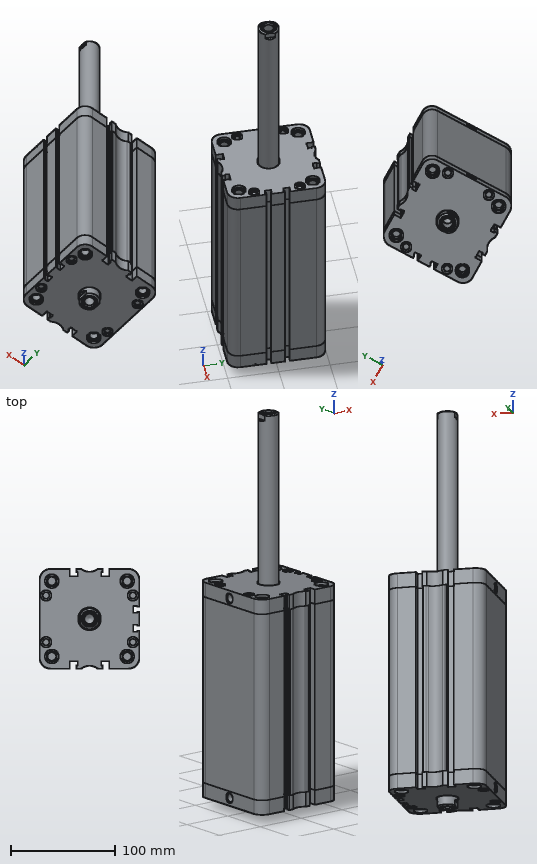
import cadquery as cq
import math

ROD_LENGTH = 392.0
BODY_WIDTH = 95.5
BODY_BOTTOM_Z = 9.5
BODY_LENGTH = 213.5
CAP_THICKNESS = 14.5
CORNER_RADIUS = 10.5
HALF_WIDTH = BODY_WIDTH / 2
TUBE_LENGTH = BODY_LENGTH - 2 * CAP_THICKNESS
TUBE_BOTTOM_Z = BODY_BOTTOM_Z + CAP_THICKNESS
TUBE_TOP_Z = TUBE_BOTTOM_Z + TUBE_LENGTH

GROOVE_OUTER_X = 19.0
GROOVE_DEPTH = 7.0
RIB_HALF_WIDTH = 12.5
RIB_LIP_DEPTH = 3.0
RIB_UNDERCUT = 1.0
RIB_HOLLOW_DIAMETER = 25.0
RIB_HOLLOW_HALF_WIDTH = 8.0
RIB_EDGE_CHAMFER = 1.0

SIDE_SLOT_Y = 9.0
SIDE_SLOT_DEPTH = 6.0
SIDE_SLOT_WIDTH = 6.3
SIDE_SLOT_LIP_DEPTH = 2.5
SIDE_SLOT_OPENING = 4.7

MOUNT_OFFSET = 36.0
MOUNT_BORE_DIAMETER = 13.5
MOUNT_BORE_DEPTH = 2.7
MOUNT_HOLE_DIAMETER = 9.8
MOUNT_HOLE_DEPTH = 3.5
MOUNT_CORE_DIAMETER = 8.2
MOUNT_CORE_DEPTH = 11.8

SCREW_X = 41.5
SCREW_Y = 22.5
SCREW_SEAT_DIAMETER = 10.0
SCREW_SEAT_DEPTH = 1.0
SCREW_SOCKET_DIAMETER = 6.3
SCREW_SOCKET_DEPTH = 3.0

PORT_DIAMETER = 8.2
PORT_MOUTH_DIAMETER = 10.0
PORT_DEPTH = 11.8
PORT_FROM_OUTER_FACE = 8.0

ROD_DIAMETER = 20.0
ROD_CLEARANCE_DIAMETER = 20.8
ROD_MOUTH_DIAMETER = 22.0
ROD_END_CHAMFER_LENGTH = 1.0
ROD_END_FACE_DIAMETER = 15.5
FLAT_ACROSS = 17.2
FLAT_LENGTH = 6.0
ROD_BORE_DIAMETER = 9.8
ROD_BORE_MOUTH_DIAMETER = 12.5
ROD_BORE_DEPTH = 19.5
DRILL_POINT_ANGLE = 118.0


def chamfered_mouth(diameter, mouth_diameter):
    """45-degree cone that widens a hole at z = 0 and narrows toward -Z."""
    depth = (mouth_diameter - diameter) / 2
    return cq.Workplane(cq.Solid.makeCone(diameter / 2, mouth_diameter / 2, depth).translate((0, 0, -depth)))


def rib_grooves(length):
    """Cutters for the two grooves and the rounded hollow of the rib on the -Y side."""
    groove_floor_y = GROOVE_DEPTH - HALF_WIDTH
    lip_y = RIB_LIP_DEPTH - HALF_WIDTH
    right_groove = (
        cq.Workplane()
        .polyline([
            (GROOVE_OUTER_X, -HALF_WIDTH),
            (GROOVE_OUTER_X, groove_floor_y),
            (RIB_HALF_WIDTH - RIB_UNDERCUT, groove_floor_y),
            (RIB_HALF_WIDTH - RIB_UNDERCUT, lip_y),
            (RIB_HALF_WIDTH, lip_y),
            (RIB_HALF_WIDTH, -HALF_WIDTH),
        ])
        .close()
        .extrude(length)
    )
    hollow_radius = RIB_HOLLOW_DIAMETER / 2
    hollow_center_y = -HALF_WIDTH - math.sqrt(hollow_radius**2 - RIB_HOLLOW_HALF_WIDTH**2)
    hollow = cq.Workplane().center(0, hollow_center_y).circle(hollow_radius).extrude(length)
    return right_groove.union(right_groove.mirror("YZ")).union(hollow)


def side_slots(length):
    """Cutters for the two T-slots on the +X side."""
    chamber_depth = SIDE_SLOT_DEPTH - SIDE_SLOT_LIP_DEPTH
    chamber_x = HALF_WIDTH - SIDE_SLOT_LIP_DEPTH - chamber_depth / 2
    opening_x = HALF_WIDTH - SIDE_SLOT_DEPTH / 2
    centers = [-SIDE_SLOT_Y, SIDE_SLOT_Y]
    chambers = (
        cq.Workplane()
        .pushPoints([(chamber_x, y) for y in centers])
        .rect(chamber_depth, SIDE_SLOT_WIDTH)
        .extrude(length)
    )
    openings = (
        cq.Workplane()
        .pushPoints([(opening_x, y) for y in centers])
        .rect(SIDE_SLOT_DEPTH, SIDE_SLOT_OPENING)
        .extrude(length)
    )
    return chambers.union(openings)


def profile_block(length):
    """Rounded square block with the grooves and slots, standing on z = 0."""
    block = cq.Workplane().rect(BODY_WIDTH, BODY_WIDTH).extrude(length).edges("|Z").fillet(CORNER_RADIUS)
    grooves = rib_grooves(length)
    return block.cut(grooves).cut(grooves.mirror("XZ")).cut(side_slots(length))


def make_tube():
    """Tube with a rod hole, and chamfers along all edges of the ribs' flat lands."""
    tube = profile_block(TUBE_LENGTH)
    for side in (-1, 1):
        land_y = side * HALF_WIDTH
        land_box = cq.selectors.BoxSelector(
            (-GROOVE_OUTER_X + RIB_EDGE_CHAMFER, land_y - RIB_EDGE_CHAMFER, 0),
            (GROOVE_OUTER_X - RIB_EDGE_CHAMFER, land_y + RIB_EDGE_CHAMFER, TUBE_LENGTH),
        )
        tube = tube.edges("|Z").edges(land_box).chamfer(RIB_EDGE_CHAMFER)
    rod_hole = cq.Workplane().circle(ROD_DIAMETER / 2).extrude(TUBE_LENGTH)
    return tube.cut(rod_hole).translate((0, 0, TUBE_BOTTOM_Z))


def corner_holes(x, y, diameter, depth):
    """Four blind-hole cutters, mirrored about X and Y, going down from the cap's outer face."""
    return (
        cq.Workplane()
        .workplane(offset=CAP_THICKNESS)
        .rect(2 * x, 2 * y, forConstruction=True)
        .vertices()
        .circle(diameter / 2)
        .extrude(-depth)
    )


def port_hole():
    """Cutter for the air port, with a 45-degree mouth on the -X face."""
    bore = cq.Workplane().circle(PORT_DIAMETER / 2).extrude(-PORT_DEPTH)
    port = bore.union(chamfered_mouth(PORT_DIAMETER, PORT_MOUTH_DIAMETER))
    port_z = CAP_THICKNESS - PORT_FROM_OUTER_FACE
    return port.rotate((0, 0, 0), (0, 1, 0), -90).translate((-HALF_WIDTH, 0, port_z))


def make_cap(inner_face_z, faces_up):
    """End cap at the given height of its inner face, with its outer face up or down."""
    cap = profile_block(CAP_THICKNESS)
    cap = cap.cut(corner_holes(MOUNT_OFFSET, MOUNT_OFFSET, MOUNT_BORE_DIAMETER, MOUNT_BORE_DEPTH))
    cap = cap.cut(corner_holes(MOUNT_OFFSET, MOUNT_OFFSET, MOUNT_HOLE_DIAMETER, MOUNT_HOLE_DEPTH))
    cap = cap.cut(corner_holes(MOUNT_OFFSET, MOUNT_OFFSET, MOUNT_CORE_DIAMETER, MOUNT_CORE_DEPTH))
    cap = cap.cut(corner_holes(SCREW_X, SCREW_Y, SCREW_SEAT_DIAMETER, SCREW_SEAT_DEPTH))
    cap = cap.cut(corner_holes(SCREW_X, SCREW_Y, SCREW_SOCKET_DIAMETER, SCREW_SOCKET_DEPTH))
    cap = cap.cut(cq.Workplane().circle(ROD_CLEARANCE_DIAMETER / 2).extrude(CAP_THICKNESS))
    mouth = chamfered_mouth(ROD_CLEARANCE_DIAMETER, ROD_MOUTH_DIAMETER).translate((0, 0, CAP_THICKNESS))
    cap = cap.cut(mouth).cut(port_hole())
    if not faces_up:
        cap = cap.mirror("XY")
    return cap.translate((0, 0, inner_face_z))


def rod_end_cuts():
    """Cutters for one rod end at z = 0 with the rod below: two wrench flats and a drilled bore."""
    rod_radius = ROD_DIAMETER / 2
    flat_x = FLAT_ACROSS / 2
    shoulder_drop = rod_radius - flat_x
    flat = (
        cq.Workplane("XZ")
        .polyline([
            (flat_x, 0),
            (flat_x, -FLAT_LENGTH),
            (rod_radius, -FLAT_LENGTH - shoulder_drop),
            (rod_radius, 0),
        ])
        .close()
        .extrude(rod_radius, both=True)
    )
    bore_radius = ROD_BORE_DIAMETER / 2
    point_depth = bore_radius / math.tan(math.radians(DRILL_POINT_ANGLE / 2))
    bore = (
        cq.Workplane("XZ")
        .polyline([
            (0, 0),
            (bore_radius, 0),
            (bore_radius, -ROD_BORE_DEPTH),
            (0, -ROD_BORE_DEPTH - point_depth),
        ])
        .close()
        .revolve(360, (0, 0), (0, 1))
    )
    mouth = chamfered_mouth(ROD_BORE_DIAMETER, ROD_BORE_MOUTH_DIAMETER)
    return flat.union(flat.mirror("YZ")).union(bore).union(mouth)


def make_rod():
    rod_radius = ROD_DIAMETER / 2
    face_radius = ROD_END_FACE_DIAMETER / 2
    rod = (
        cq.Workplane("XZ")
        .polyline([
            (0, 0),
            (face_radius, 0),
            (rod_radius, ROD_END_CHAMFER_LENGTH),
            (rod_radius, ROD_LENGTH - ROD_END_CHAMFER_LENGTH),
            (face_radius, ROD_LENGTH),
            (0, ROD_LENGTH),
        ])
        .close()
        .revolve(360, (0, 0), (0, 1))
    )
    end_cuts = rod_end_cuts()
    return rod.cut(end_cuts.translate((0, 0, ROD_LENGTH))).cut(end_cuts.mirror("XY"))


tube = make_tube()
rod = make_rod()
caps = [make_cap(z, faces_up) for z, faces_up in [(TUBE_BOTTOM_Z, False), (TUBE_TOP_Z, True)]]

result = cq.Compound.makeCompound([tube.val(), rod.val(), *[cap.val() for cap in caps]])